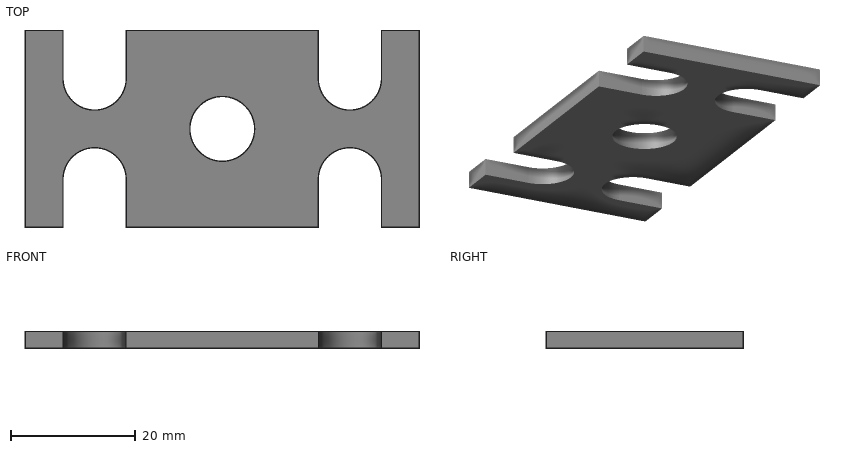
import cadquery as cq

plate_length = 63.5
plate_width = 31.75
plate_thickness = 2.75

center_hole_diameter = 10.41

slot_width = 10.16
end_bar_width = 6.1
web_width = 6.1

slot_radius = slot_width / 2
slot_offset_x = plate_length / 2 - end_bar_width - slot_radius
slot_arc_center_y = web_width / 2 + slot_radius
edge_y = plate_width / 2


def make_plate():
    """Rectangular plate centred on the origin in X and Y, resting on Z = 0."""
    return cq.Workplane("XY").box(
        plate_length, plate_width, plate_thickness, centered=(True, True, False)
    )


def make_slot(center_x, side):
    """Slot cutter open to the long edge on the given side (+1 or -1 along Y)."""
    left_x = center_x - slot_radius
    right_x = center_x + slot_radius
    arc_y = side * slot_arc_center_y
    return (
        cq.Workplane("XY")
        .moveTo(left_x, side * edge_y)
        .lineTo(left_x, arc_y)
        .threePointArc((center_x, side * web_width / 2), (right_x, arc_y))
        .lineTo(right_x, side * edge_y)
        .close()
        .extrude(plate_thickness)
    )


def make_center_hole():
    """Cylinder cutter for the hole at the plate centre."""
    return cq.Workplane("XY").circle(center_hole_diameter / 2).extrude(plate_thickness)


result = make_plate().cut(make_center_hole())
for slot_x in (-slot_offset_x, slot_offset_x):
    for slot_side in (-1, 1):
        result = result.cut(make_slot(slot_x, slot_side))